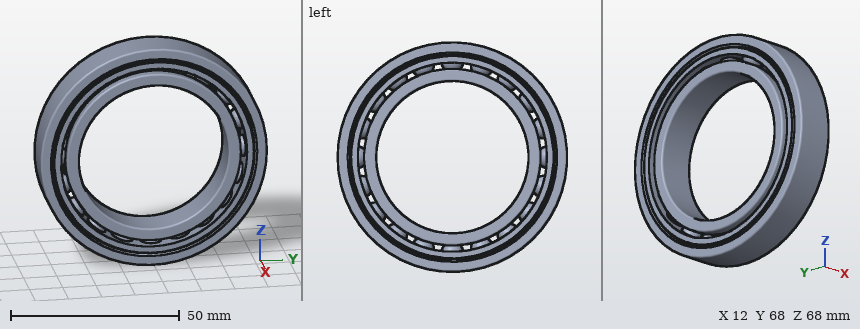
import cadquery as cq

bore_radius = 22.5
outer_radius = 34.0
width = 12.0
edge_round = 0.6

ball_count = 20
ball_radius = 3.25
pitch_radius = (bore_radius + outer_radius) / 2

inner_shoulder_radius = 26.15
outer_shoulder_radius = 30.35
outer_shoulder_chamfer = 0.65

cage_inner_radius = 27.97
cage_outer_radius = 29.95
cage_width = width

SMALLEST = 0
LARGEST = -1


def ring(inside_radius, outside_radius, length):
    """Plain ring around X, centred on the YZ plane."""
    start_face = cq.Workplane("YZ", origin=(-length / 2, 0, 0))
    return start_face.circle(outside_radius).circle(inside_radius).extrude(length)


def rim_edges(body, order):
    """One circle on each end face: SMALLEST or LARGEST."""
    return body.faces("<X or >X").edges(cq.selectors.RadiusNthSelector(order))


def raceway():
    """Torus swept by a ball as it runs around the bearing."""
    centre = cq.Vector(0, 0, 0)
    axis = cq.Vector(1, 0, 0)
    return cq.Workplane(cq.Solid.makeTorus(pitch_radius, ball_radius, centre, axis))


def make_outer_ring():
    body = ring(outer_shoulder_radius, outer_radius, width)
    body = rim_edges(body, LARGEST).fillet(edge_round)
    body = rim_edges(body, SMALLEST).chamfer(outer_shoulder_chamfer)
    return body.cut(raceway())


def make_inner_ring():
    body = ring(bore_radius, inner_shoulder_radius, width)
    body = rim_edges(body, LARGEST).fillet(edge_round)
    body = rim_edges(body, SMALLEST).fillet(edge_round)
    return body.cut(raceway())


def make_ball_cage():
    """Cage ring and the balls it holds, as one solid."""
    body = ring(cage_inner_radius, cage_outer_radius, cage_width)
    for index in range(ball_count):
        ball = (
            cq.Workplane("XY")
            .sphere(ball_radius)
            .translate((0, 0, pitch_radius))
            .rotate((0, 0, 0), (1, 0, 0), index * 360 / ball_count)
        )
        body = body.union(ball)
    return body


outer_ring = make_outer_ring().solids()
inner_ring = make_inner_ring().solids()
ball_cage = make_ball_cage().solids()

result = cq.Compound.makeCompound([outer_ring.val(), inner_ring.val(), ball_cage.val()])